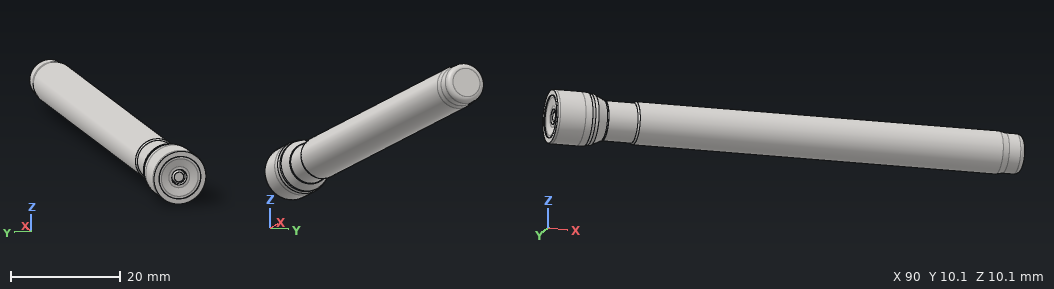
import cadquery as cq


neck_radius = 7.5 / 2
head_length = 10.1
socket_floor = 5.3

head_radius = 10.1 / 2
front_chamfer_length = 0.45
front_chamfer_depth = 0.1
grip_end = 5.3
band_end = 6.7
band_slope_depth = 0.045
shoulder_start = 7.3
shoulder_end = 7.9
collar_radius = 4.8
rear_lip_length = 0.3
rear_lip_radius = neck_radius + 0.1

rim_bore_radius = 4.0
rim_bore_depth = 0.2
reflector_mouth_radius = 3.5
reflector_throat_radius = 2.0
reflector_depth = 0.5
bulb_hole_radius = 1.4

bulb_radius = 1.3
bulb_tip_radius = 0.9
bulb_tip_start = 0.7
bulb_tip_length = 0.4

total_length = 90.0
barrel_radius = 8.0 / 2
neck_end = 15.7
barrel_start = 16.0
barrel_end = 85.5
tail_start = 86.8
tail_radius = neck_radius
tail_fillet = 1.1


def turned_body(profile):
    """Revolve (x, radius) points about the X axis."""
    return cq.Workplane("XY").polyline(profile).close().revolve(360, (0, 0, 0), (1, 0, 0))


def make_head():
    exterior = [
        (0, head_radius - front_chamfer_depth),
        (front_chamfer_length, head_radius),
        (grip_end, head_radius),
        (band_end, head_radius - band_slope_depth),
        (shoulder_start, collar_radius),
        (shoulder_end, collar_radius),
        (head_length - rear_lip_length, rear_lip_radius),
        (head_length, rear_lip_radius),
    ]
    socket = [
        (head_length, neck_radius),
        (socket_floor, neck_radius),
        (socket_floor, bulb_hole_radius),
    ]
    reflector = [
        (reflector_depth, bulb_hole_radius),
        (reflector_depth, reflector_throat_radius),
        (rim_bore_depth, reflector_mouth_radius),
        (rim_bore_depth, rim_bore_radius),
        (0, rim_bore_radius),
    ]
    return turned_body(exterior + socket + reflector)


def make_barrel():
    bulb = [
        (bulb_tip_start, 0),
        (bulb_tip_start, bulb_tip_radius),
        (bulb_tip_start + bulb_tip_length, bulb_radius),
        (socket_floor, bulb_radius),
    ]
    tube = [
        (socket_floor, neck_radius),
        (neck_end, neck_radius),
        (barrel_start, barrel_radius),
        (barrel_end, barrel_radius),
        (tail_start, tail_radius),
        (total_length, tail_radius),
        (total_length, 0),
    ]
    return turned_body(bulb + tube).faces(">X").edges().fillet(tail_fillet)


head = make_head()
barrel = make_barrel()

result = cq.Compound.makeCompound([head.val(), barrel.val()])